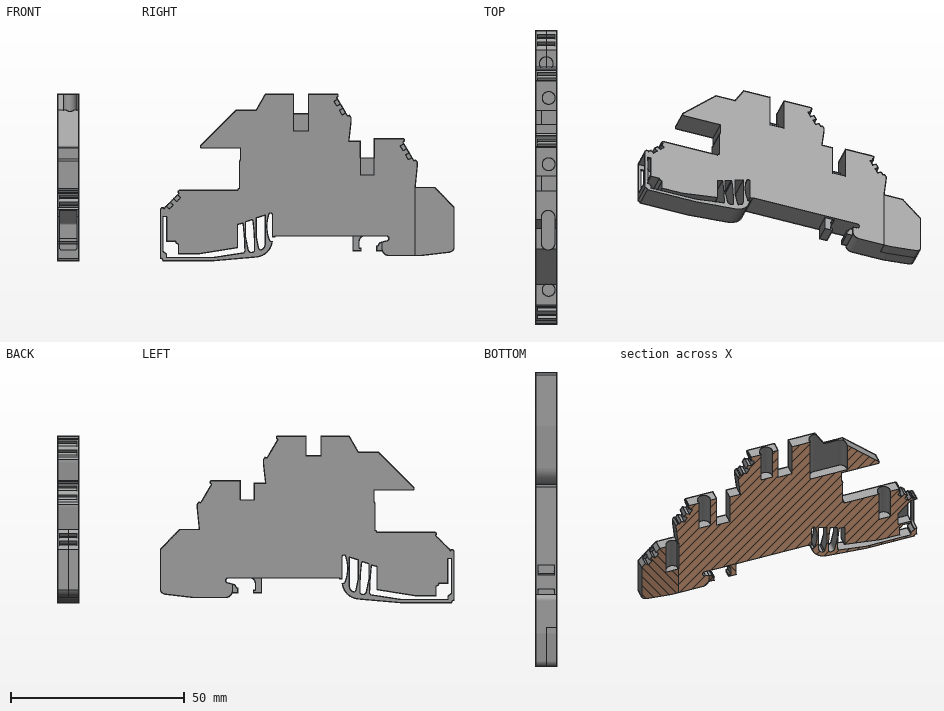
import cadquery as cq
import math

THICKNESS = 6.1
LENGTH = 84.5
HEIGHT = 47.95
SEAM_X = THICKNESS / 2

UNDERSIDE_Z = 7.1
REAR_STEP_Z = 21.1
REAR_FOOT_Z = 1.5
MIDDLE_TOP_Z = 35.1
MIDDLE_SADDLE_Z = 34.4
LEDGE_Z = 43.3
FRONT_STEP_Z = 20.35
REAR_WALL_Y = 73.3
UPPER_WALL_Y = 54.25
BAY_BACK_Y = 22.75
BAY_FILLET = 0.5
HOOK_TIP_Y = 63.8
HOOK_TIP_Z = 5.4
TOE_RADIUS = 0.7

STAIR_SHIFT_Y = REAR_WALL_Y - UPPER_WALL_Y
STAIR_SHIFT_Z = HEIGHT - MIDDLE_TOP_Z

SLOT_POCKET_DEPTH = 5.0
SLOT_SILL = 1.65
MIDDLE_SLOT_Y = (57.5, 61.5)
MIDDLE_SLOT_Z = 29.6
UPPER_SLOT_Y = (38.35, 42.6)
UPPER_SLOT_Z = 42.3

HOLE_DIAMETER = 3.7
HOLE_DEPTH = 10.0
HOLE_X = 3.75
MIDDLE_HOLE_Y = 65.1
SCREW_HOLES = (
    (MIDDLE_HOLE_Y, MIDDLE_TOP_Z),
    (MIDDLE_HOLE_Y - STAIR_SHIFT_Y, HEIGHT),
    (9.9, FRONT_STEP_Z),
)
REAR_HOLE_DIAMETER = 3.9
REAR_HOLE_Y = 75.0
DRIVER_SLOT_Y = (21.35, 32.75)
DRIVER_SLOT_WIDTH = 3.9
DRIVER_SLOT_X = 3.6
DRIVER_SLOT_FLOOR_Z = 33.3

MIDDLE_SLOPE = ((72.65, 29.2), (69.75, 34.1))
UPPER_SLOPE = tuple((y - STAIR_SHIFT_Y, z + STAIR_SHIFT_Z) for y, z in MIDDLE_SLOPE)
FRONT_SLOPE = ((1.3, 15.3), (5.4, 19.4))
REAR_SLOPE = ((LENGTH, 15.35), (78.95, REAR_STEP_Z))

GROOVE_WIDTH = 1.6
GROOVE_PITCH = 3.0
GROOVE_DEPTH = 1.2
GROOVE_MARGIN = 0.5

WINDOW_MARGIN = 0.5
WINDOW_BOTTOM_Z = 3.05
WINDOW_TOP_Z = 14.4
WINDOW_RADIUS = 0.9
CHANNEL_FRONT_Y = 0.8
BLOCK_FRONT_Y = 1.8
NOTCH_BACK_Y = 5.2
NOTCH_TOP_Z = 5.6
NOTCH_FILLET = 0.8
ENTRY_CEILING_Z = 10.5
ENTRY_BACK_Y = BLOCK_FRONT_Y + WINDOW_TOP_Z - ENTRY_CEILING_Z
ENTRY_RADIUS = 0.8
ENTRY_FLOOR_Z = 6.4

CLAMP_INSET = 0.7
CLAMP_LEG_Y = (55.4, 57.2)
CLAMP_TOE_Y = 57.75
CLAMP_TOE_Z = 3.6
CLAMP_BOTTOM_Z = 2.85


def stair_front(shift_y=0.0, shift_z=0.0):
    """Points from the top of a stair's riser over its sloping marker face to its top edge."""
    points = [
        (73.95, 27.4),
        (73.95, 28.3),
        (73.4, 29.0),
        (72.95, 28.8),
        *MIDDLE_SLOPE,
        (70.15, 34.4),
        (70.15, MIDDLE_TOP_Z - 0.2),
        (69.95, MIDDLE_TOP_Z),
    ]
    return [(y - shift_y, z + shift_z) for y, z in points]


def along(sketch, points):
    """Continue an outline with straight lines through the points."""
    for point in points:
        sketch = sketch.lineTo(*point)
    return sketch


def body_outline():
    """Side outline of the housing with the spring foot, before any opening is cut."""
    path = cq.Workplane("YZ").moveTo(*REAR_SLOPE[0])
    path = along(path, [REAR_SLOPE[1], (REAR_WALL_Y, REAR_STEP_Z)])
    path = along(path, stair_front())
    path = along(path, [
        (MIDDLE_SLOT_Y[1], MIDDLE_TOP_Z),
        (MIDDLE_SLOT_Y[1], MIDDLE_SLOT_Z),
        (MIDDLE_SLOT_Y[0], MIDDLE_SLOT_Z),
        (MIDDLE_SLOT_Y[0], MIDDLE_SADDLE_Z),
        (UPPER_WALL_Y, MIDDLE_SADDLE_Z),
    ])
    path = along(path, stair_front(STAIR_SHIFT_Y, STAIR_SHIFT_Z))
    path = along(path, [
        (UPPER_SLOT_Y[1], HEIGHT),
        (UPPER_SLOT_Y[1], UPPER_SLOT_Z),
        (UPPER_SLOT_Y[0], UPPER_SLOT_Z),
        (UPPER_SLOT_Y[0], HEIGHT),
        (30.2, HEIGHT),
        (27.55, LEDGE_Z),
        (21.7, LEDGE_Z),
        (11.6, 33.2),
    ])
    path = path.threePointArc((11.5, 32.75), (11.9, 32.4))
    path = along(path, [
        (23.05, 32.4),
        (23.05, 29.2),
        (BAY_BACK_Y, 28.65),
        (BAY_BACK_Y, FRONT_STEP_Z + BAY_FILLET),
    ])
    path = path.radiusArc((BAY_BACK_Y - BAY_FILLET, FRONT_STEP_Z), -BAY_FILLET)
    path = along(path, [
        (5.5, FRONT_STEP_Z),
        (5.1, 20.0),
        (5.1, 19.6),
        *reversed(FRONT_SLOPE),
        (1.05, 14.9),
        (0.9, 15.3),
        (0.4, 15.3),
        (0.0, 14.8),
        (0.0, TOE_RADIUS),
    ])
    path = path.radiusArc((TOE_RADIUS, 0.0), TOE_RADIUS)
    path = along(path, [(15.5, 0.0), (27.5, 1.05)])
    path = path.threePointArc((30.7, 2.5), (32.2, 5.5))
    path = path.lineTo(31.5, 5.7)
    path = path.threePointArc((30.65, 9.6), (31.2, 13.3))
    path = path.threePointArc((31.65, 13.7), (32.2, 13.2))
    path = along(path, [(32.2, 6.9), (33.0, 6.9), (33.0, UNDERSIDE_Z), (64.9, UNDERSIDE_Z)])
    path = path.threePointArc((65.7, 6.4), (64.9, 5.7))
    path = along(path, [(HOOK_TIP_Y, HOOK_TIP_Z), (HOOK_TIP_Y, 3.6)])
    path = path.threePointArc((64.3, 2.1), (65.9, REAR_FOOT_Z))
    path = along(path, [(75.2, REAR_FOOT_Z), (82.9, 2.4)])
    path = path.threePointArc((84.0, 2.85), (LENGTH, 3.6))
    return path.close()


def rear_spring_window():
    """Rear opening between the webs of the spring foot."""
    path = cq.Workplane("YZ").moveTo(30.1, 13.1)
    path = along(path, [(27.6, 12.3), (27.6, 6.9)])
    path = path.threePointArc((27.95, 5.1), (28.35, 3.4))
    path = path.lineTo(28.7, 3.1)
    path = path.threePointArc((29.65, 3.6), (30.1, 4.6))
    return path.close()


def front_spring_window():
    """Front opening between the webs of the spring foot."""
    path = cq.Workplane("YZ").moveTo(26.4, 11.8)
    path = along(path, [(24.5, 11.2), (24.5, 6.9)])
    path = path.threePointArc((24.9, 5.0), (25.25, 3.2))
    path = path.threePointArc((25.8, 2.5), (27.05, 2.8))
    path = path.threePointArc((26.95, 8.0), (26.6, 11.5))
    return path.close()


def foot_channel():
    """Channel between the terminal block and the spring foot around it."""
    path = cq.Workplane("YZ").moveTo(23.7, 10.8)
    path = along(path, [
        (22.2, 10.4),
        (22.2, 3.75),
        (11.2, 2.0),
        (NOTCH_BACK_Y, 2.0),
        (NOTCH_BACK_Y, NOTCH_TOP_Z - NOTCH_FILLET),
    ])
    path = path.radiusArc((NOTCH_BACK_Y - NOTCH_FILLET, NOTCH_TOP_Z), NOTCH_FILLET)
    path = along(path, [
        (BLOCK_FRONT_Y, NOTCH_TOP_Z),
        (BLOCK_FRONT_Y, 12.7),
        (CHANNEL_FRONT_Y, 12.7),
        (CHANNEL_FRONT_Y, 2.7),
        (BLOCK_FRONT_Y, 1.9),
        (BLOCK_FRONT_Y, 1.0),
        (15.5, 1.0),
        (24.0, 2.3),
        (24.3, 2.7),
    ])
    path = path.threePointArc((24.15, 6.6), (23.8, 10.5))
    return path.close()


def marker_grooves(slope, x_end):
    """Pair of grooves centred on a marker face, with walls square to it, that end at x_end."""
    (low_y, low_z), (high_y, high_z) = slope
    angle = math.degrees(math.atan2(high_z - low_z, high_y - low_y))
    return (
        cq.Workplane("YZ", origin=(GROOVE_MARGIN, (low_y + high_y) / 2, (low_z + high_z) / 2))
        .transformed(rotate=(0, 0, angle))
        .pushPoints([(-GROOVE_PITCH / 2, 0), (GROOVE_PITCH / 2, 0)])
        .rect(GROOVE_WIDTH, 2 * GROOVE_DEPTH)
        .extrude(x_end - GROOVE_MARGIN)
    )


def blind_hole(x, y, top_z, diameter):
    return (
        cq.Workplane("XY", origin=(x, y, top_z))
        .circle(diameter / 2)
        .extrude(-HOLE_DEPTH)
    )


def slot_pocket(slot_y, floor_z):
    """Deep part of a stair slot, open to the +X side."""
    return cq.Workplane("XY").box(
        THICKNESS - SLOT_SILL, slot_y[1] - slot_y[0], SLOT_POCKET_DEPTH, centered=False
    ).translate((SLOT_SILL, slot_y[0], floor_z - SLOT_POCKET_DEPTH))


def driver_slot():
    """Round-ended pocket from the top down through the ledge in front of the upper stair."""
    slot_length = DRIVER_SLOT_Y[1] - DRIVER_SLOT_Y[0]
    return (
        cq.Workplane("XY", origin=(DRIVER_SLOT_X, sum(DRIVER_SLOT_Y) / 2, DRIVER_SLOT_FLOOR_Z))
        .slot2D(slot_length, DRIVER_SLOT_WIDTH, 90)
        .extrude(HEIGHT - DRIVER_SLOT_FLOOR_Z)
    )


def front_window():
    """Opening through the thin front wall, rounded at its lower corners."""
    return (
        cq.Workplane("XY")
        .box(
            THICKNESS - 2 * WINDOW_MARGIN,
            CHANNEL_FRONT_Y,
            WINDOW_TOP_Z - WINDOW_BOTTOM_Z,
            centered=False,
        )
        .edges("|Y and <Z")
        .fillet(WINDOW_RADIUS)
        .translate((WINDOW_MARGIN, 0, WINDOW_BOTTOM_Z))
    )


def wire_entry():
    """Funnel in the terminal block behind the window, with a sloping ceiling."""
    return (
        cq.Workplane("YZ", origin=(WINDOW_MARGIN, 0, 0))
        .polyline([
            (0, WINDOW_TOP_Z),
            (BLOCK_FRONT_Y, WINDOW_TOP_Z),
            (ENTRY_BACK_Y, ENTRY_CEILING_Z),
            (ENTRY_BACK_Y, ENTRY_FLOOR_Z),
            (0, ENTRY_FLOOR_Z),
        ])
        .close()
        .extrude(THICKNESS - 2 * WINDOW_MARGIN)
        .edges(cq.NearestToPointSelector((SEAM_X, ENTRY_BACK_Y, ENTRY_CEILING_Z)))
        .fillet(ENTRY_RADIUS)
    )


def make_body():
    """Housing and rear cover as one piece, with every opening cut."""
    body = body_outline().extrude(THICKNESS)
    for opening in (rear_spring_window(), front_spring_window(), foot_channel()):
        body = body.cut(opening.extrude(THICKNESS))
    body = body.cut(slot_pocket(MIDDLE_SLOT_Y, MIDDLE_SLOT_Z))
    body = body.cut(slot_pocket(UPPER_SLOT_Y, UPPER_SLOT_Z))
    for hole_y, top_z in SCREW_HOLES:
        body = body.cut(blind_hole(HOLE_X, hole_y, top_z, HOLE_DIAMETER))
    body = body.cut(blind_hole(SEAM_X, REAR_HOLE_Y, REAR_STEP_Z, REAR_HOLE_DIAMETER))
    body = body.cut(driver_slot()).cut(front_window()).cut(wire_entry())

    for slope in (MIDDLE_SLOPE, UPPER_SLOPE, FRONT_SLOPE):
        body = body.cut(marker_grooves(slope, THICKNESS))
    return body.cut(marker_grooves(REAR_SLOPE, THICKNESS - GROOVE_MARGIN))


def rear_cover_region():
    """Half of the rear block on the +X side of the seam."""
    return cq.Workplane("XY").box(
        THICKNESS - SEAM_X, LENGTH - REAR_WALL_Y, REAR_STEP_Z, centered=False
    ).translate((SEAM_X, REAR_WALL_Y, 0))


def make_rear_clamp():
    """Small clamp that continues the rear hook under the rail."""
    path = cq.Workplane("YZ", origin=(CLAMP_INSET, 0, 0)).moveTo(HOOK_TIP_Y, HOOK_TIP_Z)
    path = path.threePointArc((63.0, 5.0), (62.6, 4.25))
    path = along(path, [(62.2, 4.25), (62.2, CLAMP_BOTTOM_Z), (HOOK_TIP_Y, CLAMP_BOTTOM_Z)])
    return path.close().extrude(THICKNESS - 2 * CLAMP_INSET)


def make_front_clamp():
    """Clamp leg below the underside, with a toe that points to the rear."""
    path = cq.Workplane("YZ", origin=(CLAMP_INSET, 0, 0)).moveTo(CLAMP_LEG_Y[0], UNDERSIDE_Z)
    path = path.lineTo(58.3, UNDERSIDE_Z)
    path = path.threePointArc((57.5, 6.5), (CLAMP_LEG_Y[1], 5.5))
    path = along(path, [
        (CLAMP_LEG_Y[1], CLAMP_TOE_Z),
        (CLAMP_TOE_Y, CLAMP_TOE_Z),
        (CLAMP_TOE_Y, CLAMP_BOTTOM_Z),
        (CLAMP_LEG_Y[0], CLAMP_BOTTOM_Z),
    ])
    return path.close().extrude(THICKNESS - 2 * CLAMP_INSET)


whole_body = make_body()
housing = whole_body.cut(rear_cover_region())
rear_cover = whole_body.intersect(rear_cover_region())
rear_clamp = make_rear_clamp().cut(housing)
front_clamp = make_front_clamp()

result = cq.Compound.makeCompound(
    [housing.val(), rear_cover.val(), rear_clamp.val(), front_clamp.val()]
)